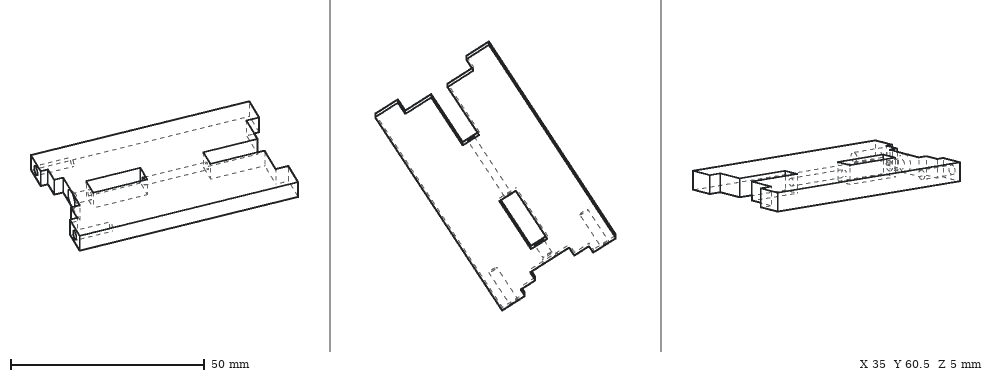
import cadquery as cq

width = 35.0
length = 60.5
thickness = 5.0
mid_height = thickness / 2

tab_width = 7.0
notch_width = width - 2 * tab_width
front_notch_depth = 2.0
center_notch_width = 12.0
center_notch_depth = 4.5
back_notch_depth = 3.5

slot_width = 5.0
slot_length = 15.0
front_wall = 5.0
slot_end_y = length - back_notch_depth - slot_length
window_start_y = center_notch_depth + front_wall

tab_hole_diameter = 2.5
tab_hole_depth = 10.0
screw_hole_diameter = 2.7
countersink_diameter = 4.95
countersink_depth = (countersink_diameter - screw_hole_diameter) / 2
rod_hole_diameter = 2.0


def cutout(cut_width, start_y, end_y):
    """Full-thickness rectangular cutter centred on X = 0."""
    return cq.Workplane("XY").box(
        cut_width, end_y - start_y, thickness, centered=(True, False, False)
    ).translate((0, start_y, 0))


def bore(x, diameter, start_y, end_y):
    """Cylindrical cutter along +Y at mid height."""
    return cq.Workplane(
        cq.Solid.makeCylinder(
            diameter / 2, end_y - start_y, cq.Vector(x, start_y, mid_height), cq.Vector(0, 1, 0)
        )
    )


plate = cutout(width, 0, length)

plate = plate.cut(cutout(notch_width, 0, front_notch_depth))
plate = plate.cut(cutout(center_notch_width, 0, center_notch_depth))
plate = plate.cut(cutout(notch_width, length - back_notch_depth, length))

plate = plate.cut(cutout(slot_width, slot_end_y, length))
plate = plate.cut(cutout(slot_width, window_start_y, window_start_y + slot_length))

tab_center_x = (width - tab_width) / 2
for x in (-tab_center_x, tab_center_x):
    plate = plate.cut(bore(x, tab_hole_diameter, 0, tab_hole_depth))

plate = plate.cut(bore(0, screw_hole_diameter, center_notch_depth, window_start_y))
countersink = cq.Solid.makeCone(
    countersink_diameter / 2,
    screw_hole_diameter / 2,
    countersink_depth,
    cq.Vector(0, center_notch_depth, mid_height),
    cq.Vector(0, 1, 0),
)
plate = plate.cut(cq.Workplane(countersink))

plate = plate.cut(bore(0, rod_hole_diameter, window_start_y + slot_length, slot_end_y))

result = plate